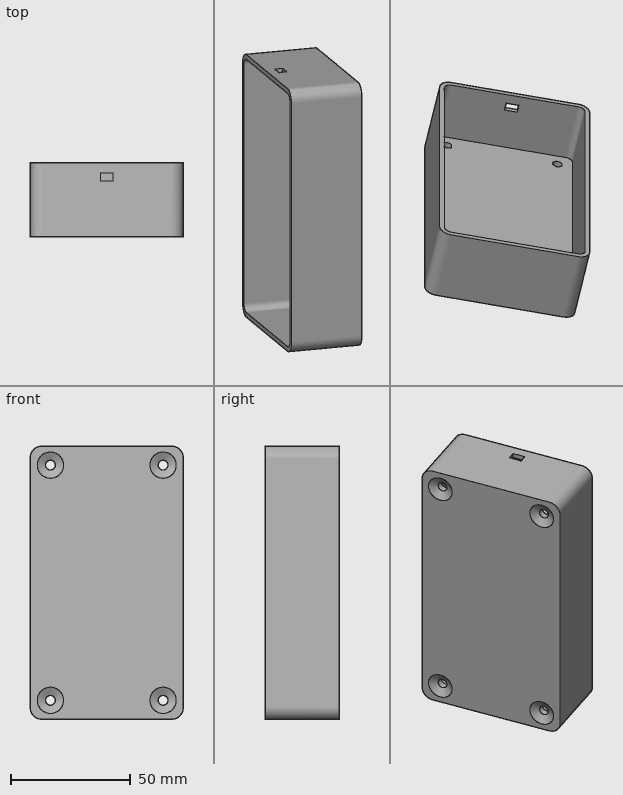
import cadquery as cq

width = 64.0
depth = 31.0
height = 114.0
corner_radius = 5.0
wall_thickness = 2.0
front_thickness = 5.0

screw_spacing_x = 47.0
screw_spacing_z = 98.0
screw_diameter = 4.0
countersink_diameter = 11.0
countersink_depth = wall_thickness

opening_width = 5.4
opening_length = 3.4
opening_back_margin = 4.3

front_y = -depth / 2
back_y = depth / 2


def rounded_block(size_x, size_z, start_y, end_y, radius):
    """Block spanning start_y to end_y, with rounded edges along Y."""
    length_y = end_y - start_y
    block = cq.Workplane("XY").box(size_x, length_y, size_z)
    return block.edges("|Y").fillet(radius).translate((0, (start_y + end_y) / 2, 0))


def make_shell():
    outside = rounded_block(width, height, front_y, back_y, corner_radius)
    cavity = rounded_block(
        width - 2 * wall_thickness,
        height - 2 * wall_thickness,
        front_y + front_thickness,
        back_y,
        corner_radius - wall_thickness,
    )
    return outside.cut(cavity)


def make_screw_cutter():
    """Countersunk hole along Y, with its mouth on the front face."""
    mouth_radius = countersink_diameter / 2
    shank_radius = screw_diameter / 2
    profile = [
        (0, front_y),
        (mouth_radius, front_y),
        (shank_radius, front_y + countersink_depth),
        (shank_radius, front_y + front_thickness),
        (0, front_y + front_thickness),
    ]
    return cq.Workplane("XY").polyline(profile).close().revolve(360, (0, 0), (0, 1))


def make_opening():
    center_y = back_y - opening_back_margin - opening_length / 2
    center_z = height / 2 - wall_thickness / 2
    return (
        cq.Workplane("XY")
        .box(opening_width, opening_length, wall_thickness)
        .translate((0, center_y, center_z))
    )


result = make_shell().cut(make_opening())
screw_cutter = make_screw_cutter()
for side_x in (-1, 1):
    for side_z in (-1, 1):
        position = (side_x * screw_spacing_x / 2, 0, side_z * screw_spacing_z / 2)
        result = result.cut(screw_cutter.translate(position))